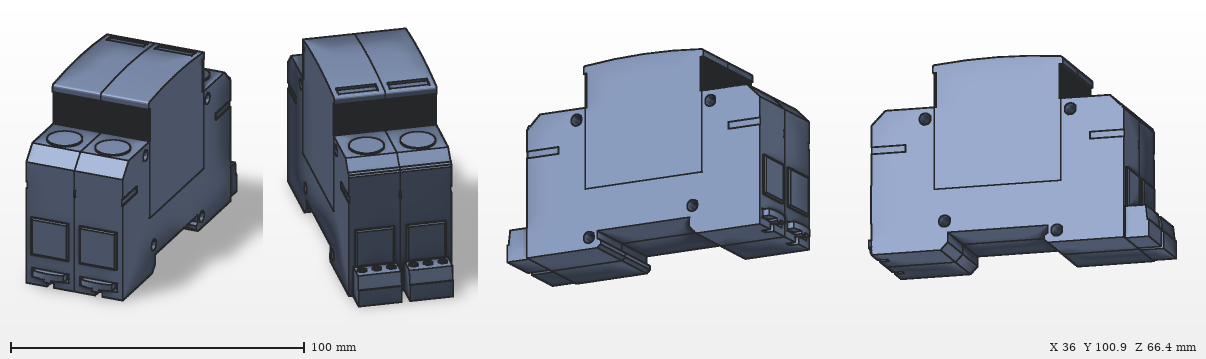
import cadquery as cq

module_count = 2
module_width = 36.0 / module_count
overall_depth = 100.9
plug_depth = 8.4
latch_reach = 2.6
housing_depth = overall_depth - plug_depth - latch_reach
mid_y = housing_depth / 2
housing_height = 50.3
housing_chamfer = 5.0

rail_front = 27.2
rail_back = 62.8
rail_height = 6.1
rail_lead_in = 2.6
nose_reach = 1.3
nose_top = 3.4
nose_face_top = 2.5
nose_face_bottom = 1.1

cross_hole_diameter = 4.0
upper_hole_offset = 25.8
upper_hole_z = 46.4
lower_holes = [(26.0, 10.1), (66.0, 4.1)]

side_groove_length = 12.1
side_groove_bottom = 35.4
side_groove_height = 2.4
side_groove_depth = 0.3

square_cover = 13.9
square_cover_bottom = 11.2
square_cover_base = 0.6
square_cover_edge = 0.4
round_cover_diameter = 12.1
round_cover_offset = 33.0
round_cover_base = 0.5
round_cover_edge = 0.1
cover_edge_inset = 0.6

ridge_width = 1.0
ridge_height = 0.4
ridge_inset = 0.9

cartridge_depth = 45.0
cartridge_bottom = 21.5
cartridge_top = 66.4
crown_edge_z = 65.1
lip_overhang = 0.6
lip_bottom = 62.5
lip_round = 0.9
grip_groove_count = 12
grip_groove_height = (lip_bottom - housing_height) / (2 * grip_groove_count - 1)
grip_groove_depth = 0.5
label_length = 13.9
label_width = 3.9
label_edge_gap = 2.0
label_floor_z = 64.8

latch_width = 13.9
latch_top = rail_height
handle_bottom = 3.6
latch_bottom = 2.7
pocket_depth = 6.1
handle_side_inset = 1.2
handle_side_reach = 1.9
handle_neck_depth = 1.2
handle_flare_depth = 1.0
tab_width = 2.6
boss_width = 4.2
boss_setback = 0.6
shoulder_round = 2.4
notch_depth = 2.7
notch_chamfer = 0.6

plug_width = 15.1
plug_height = square_cover_bottom
plug_step_height = 6.1
plug_step = 0.5
plug_top_setback = 1.1
screw_count = 3
screw_pitch = 5.1
screw_diameter = 3.1
screw_setback = 3.1
screw_recess = 0.6
driver_slot_width = 0.6
driver_slot_depth = 0.5


def box(x_size, y_range, z_range):
    """Box centred on X = 0 that spans the given Y and Z ranges."""
    y_size = y_range[1] - y_range[0]
    z_size = z_range[1] - z_range[0]
    corner = (-x_size / 2, y_range[0], z_range[0])
    return cq.Workplane("XY").box(x_size, y_size, z_size, centered=False).translate(corner)


def extrude_side(profile, width):
    """Extrude a closed YZ profile symmetrically about X = 0."""
    return profile.extrude(width / 2, both=True)


def housing_block():
    chamfer_z = housing_height - housing_chamfer
    nose_y = rail_back - nose_reach
    profile = (
        cq.Workplane("YZ")
        .moveTo(0, 0)
        .lineTo(rail_front - rail_lead_in, 0)
        .lineTo(rail_front, rail_lead_in)
        .lineTo(rail_front, rail_height)
        .lineTo(rail_back, rail_height)
        .lineTo(rail_back, nose_top)
        .lineTo(nose_y, nose_face_top)
        .lineTo(nose_y, nose_face_bottom)
        .lineTo(rail_back, 0)
        .lineTo(housing_depth, 0)
        .lineTo(housing_depth, chamfer_z)
        .lineTo(housing_depth - housing_chamfer, housing_height)
        .lineTo(housing_chamfer, housing_height)
        .lineTo(0, chamfer_z)
        .close()
    )
    return extrude_side(profile, module_width)


def cross_holes():
    upper_holes = [(mid_y + side * upper_hole_offset, upper_hole_z) for side in (-1, 1)]
    holes = cq.Workplane("YZ").pushPoints(upper_holes + lower_holes).circle(cross_hole_diameter / 2)
    return extrude_side(holes, module_width)


def side_grooves():
    top = side_groove_bottom + side_groove_height
    grooves = cq.Workplane()
    for y_start in (0, housing_depth - side_groove_length):
        groove = box(
            2 * side_groove_depth, (y_start, y_start + side_groove_length), (side_groove_bottom, top)
        )
        for side in (-1, 1):
            grooves = grooves.add(groove.translate((side * module_width / 2, 0, 0)))
    return grooves.combine()


def raised_cover(plane, sketch_outline, base_height, edge_height):
    """Low cover standing on a plane, with a sloping edge around its top."""
    base = sketch_outline(cq.Workplane(plane), 0).extrude(base_height)
    lower_rim = sketch_outline(cq.Workplane(plane).workplane(offset=base_height), 0)
    upper_rim = sketch_outline(lower_rim.workplane(offset=edge_height), cover_edge_inset)
    return base.union(upper_rim.loft(combine=True))


def square_outline(workplane, inset):
    return workplane.rect(square_cover - 2 * inset, square_cover - 2 * inset)


def round_outline(workplane, inset):
    return workplane.circle(round_cover_diameter / 2 - inset)


def add_covers(body):
    cover_z = square_cover_bottom + square_cover / 2
    for y, direction in ((0, -1), (housing_depth, 1)):
        plane = cq.Plane(origin=(0, y, cover_z), xDir=(1, 0, 0), normal=(0, direction, 0))
        body = body.union(raised_cover(plane, square_outline, square_cover_base, square_cover_edge))
    for side in (-1, 1):
        origin = (0, mid_y + side * round_cover_offset, housing_height)
        plane = cq.Plane(origin=origin, xDir=(1, 0, 0), normal=(0, 0, 1))
        body = body.union(raised_cover(plane, round_outline, round_cover_base, round_cover_edge))
    return body


def chamfer_ridge():
    ridge = cq.Workplane("XY").box(module_width, ridge_width, 2 * ridge_height)
    centre = (0, housing_depth - ridge_inset, housing_height - housing_chamfer + ridge_inset)
    return ridge.rotate((0, 0, 0), (1, 0, 0), -45).translate(centre)


def cartridge_bay():
    bay_y = (mid_y - cartridge_depth / 2, mid_y + cartridge_depth / 2)
    return box(module_width, bay_y, (cartridge_bottom, housing_height))


def latch_notch():
    """Notch below the latch tab, its back wall sloped at the base."""
    profile = (
        cq.Workplane("YZ")
        .moveTo(0, 0)
        .lineTo(notch_depth + notch_chamfer, 0)
        .lineTo(notch_depth, notch_chamfer)
        .lineTo(notch_depth, latch_bottom)
        .lineTo(0, latch_bottom)
        .close()
    )
    return extrude_side(profile, tab_width)


def make_housing():
    body = housing_block().union(chamfer_ridge())
    body = add_covers(body)
    latch_pocket = box(latch_width, (0, pocket_depth), (latch_bottom, latch_top))
    for opening in (cartridge_bay(), cross_holes(), side_grooves(), latch_pocket, latch_notch()):
        body = body.cut(opening)
    return body


def cartridge_block():
    half_body = cartridge_depth / 2
    half_lip = half_body + lip_overhang
    profile = (
        cq.Workplane("YZ", origin=(0, mid_y, 0))
        .moveTo(-half_body, cartridge_bottom)
        .lineTo(half_body, cartridge_bottom)
        .lineTo(half_body, lip_bottom)
        .lineTo(half_lip, lip_bottom)
        .lineTo(half_lip, crown_edge_z)
        .threePointArc((0, cartridge_top), (-half_lip, crown_edge_z))
        .lineTo(-half_lip, lip_bottom)
        .lineTo(-half_body, lip_bottom)
        .close()
    )
    block = extrude_side(profile, module_width)
    return block.edges("|X").edges(">Z").fillet(lip_round)


def grip_grooves():
    grooves = cq.Workplane()
    for side in (-1, 1):
        face_y = mid_y + side * cartridge_depth / 2
        groove_y = (face_y - grip_groove_depth, face_y + grip_groove_depth)
        for index in range(grip_groove_count):
            groove_top = lip_bottom - 2 * index * grip_groove_height
            groove_z = (groove_top - grip_groove_height, groove_top)
            grooves = grooves.add(box(module_width, groove_y, groove_z))
    return grooves.combine()


def make_cartridge():
    label_back = mid_y + cartridge_depth / 2 + lip_overhang - label_edge_gap
    label_y = (label_back - label_width, label_back)
    label_recess = box(label_length, label_y, (label_floor_z, cartridge_top))
    return cartridge_block().cut(grip_grooves()).cut(label_recess)


def grip_layer(base_z):
    """Bow-fronted grip from the given height up to the latch top."""
    half = latch_width / 2
    half_grip = half - handle_side_inset
    flare_back = handle_neck_depth + handle_flare_depth
    outline = (
        cq.Workplane("XY", origin=(0, 0, base_z))
        .moveTo(-half, pocket_depth)
        .lineTo(-half, flare_back)
        .lineTo(-half_grip, handle_neck_depth)
        .lineTo(-half_grip, -handle_side_reach)
        .threePointArc((0, -latch_reach), (half_grip, -handle_side_reach))
        .lineTo(half_grip, handle_neck_depth)
        .lineTo(half, flare_back)
        .lineTo(half, pocket_depth)
        .close()
    )
    return outline.extrude(latch_top - base_z)


def latch_foot():
    """Lower layer of the latch: a boss that flares into rounded shoulders."""
    half = latch_width / 2
    half_boss = boss_width / 2
    flare = half - shoulder_round - half_boss
    shoulder_y = boss_setback + flare
    sag = 0.5 ** 0.5
    round_mid = (half - shoulder_round * (1 - sag), shoulder_y + shoulder_round * (1 - sag))
    flare_mid = (half_boss + flare * (1 - sag), boss_setback + flare * sag)
    flare_end = (half - shoulder_round, shoulder_y)
    outline = (
        cq.Workplane("XY", origin=(0, 0, latch_bottom))
        .moveTo(0, pocket_depth)
        .lineTo(half, pocket_depth)
        .lineTo(half, shoulder_y + shoulder_round)
        .threePointArc(round_mid, flare_end)
        .threePointArc(flare_mid, (half_boss, boss_setback))
        .lineTo(0, boss_setback)
        .close()
    )
    right_half = outline.extrude(handle_bottom - latch_bottom)
    return right_half.union(right_half.mirror("YZ"))


def make_latch():
    tab_envelope = box(tab_width, (-latch_reach, pocket_depth), (latch_bottom, latch_top))
    tab = grip_layer(latch_bottom).intersect(tab_envelope)
    return grip_layer(handle_bottom).union(latch_foot()).union(tab)


def plug_block():
    back = housing_depth + plug_depth
    profile = (
        cq.Workplane("YZ")
        .moveTo(housing_depth, 0)
        .lineTo(back, 0)
        .lineTo(back, plug_step_height)
        .lineTo(back - plug_step, plug_step_height)
        .lineTo(back - plug_top_setback, plug_height)
        .lineTo(housing_depth, plug_height)
        .close()
    )
    return extrude_side(profile, plug_width)


def make_plug():
    screws = (
        cq.Workplane("XY", origin=(0, housing_depth + screw_setback, plug_height))
        .rarray(screw_pitch, 1, screw_count, 1)
    )
    recesses = screws.circle(screw_diameter / 2).extrude(-screw_recess)
    driver_slots = screws.rect(screw_diameter, driver_slot_width).extrude(-screw_recess - driver_slot_depth)
    return plug_block().cut(recesses).cut(driver_slots)


bodies = []
for index in range(module_count):
    module_x = (index + 0.5) * module_width
    for make_body in (make_housing, make_cartridge, make_latch, make_plug):
        bodies.append(make_body().translate((module_x, 0, 0)).solids().val())

result = cq.Compound.makeCompound(bodies)